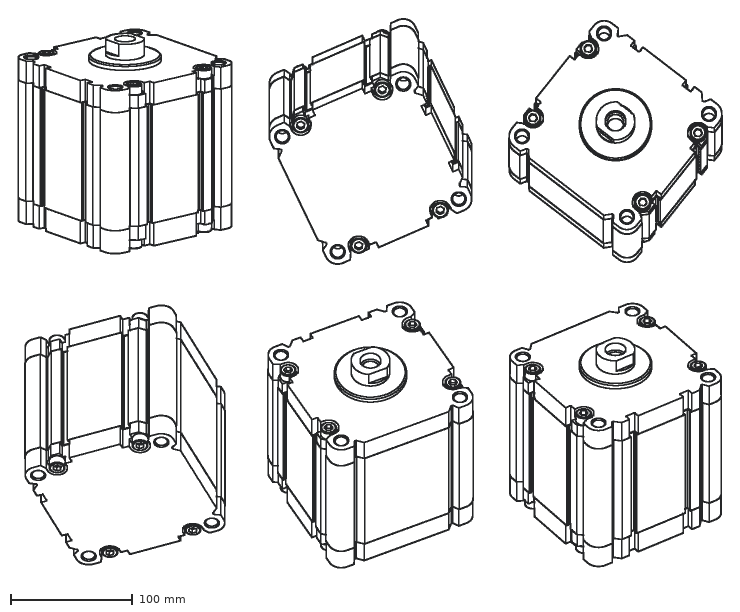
import cadquery as cq
import math


total_height = 159.0
housing_top = 140.7
bottom_cap_top = 19.9
top_cap_bottom = 121.8

barrel_width = 132.0
cap_width = 131.5
half_width = barrel_width / 2
corner_radius = 11.0
corner_pitch = half_width - corner_radius

groove_corner_mouth = 48.7
groove_corner_floor = 45.5
groove_inner_floor = 43.9
groove_inner_mouth = 39.0
cap_groove_depth = 5.4
barrel_groove_depth = 5.0

slot_offset = 27.0
cap_slot_width = 8.7
cap_slot_depth = 5.4
barrel_slot_width = 5.4
barrel_slot_depth = 4.6
slot_lip = 1.9
undercut = 0.8
undercut_height = 1.3
slot_faces = (0, 90, -90)

mount_hole_diameter = 10.2
mount_hole_mouth = 12.2
mount_hole_depth = 23.8

screw_x = 57.5
screw_y = 37.0
recess_width = 17.0
recess_depth = 7.8
head_diameter = 13.0
head_chamfer = 0.8
socket_flats = 6.0
socket_depth = 4.0

collar_diameter = 60.0
collar_top = 145.3
collar_chamfer = 1.3

rod_diameter = 32.0
rod_bottom = top_cap_bottom
flats_width = 27.0
flats_bottom = 148.5
rod_bore_diameter = 17.0
rod_bore_depth = 7.2
rod_seat_height = 0.8
rod_thread_diameter = 13.8
rod_thread_depth = 25.5
drill_tip_angle = 118.0


def around_z(shape, angle):
    return shape.rotate((0, 0, 0), (0, 0, 1), angle)


def section_prism(bottom, height, width, groove_depth):
    """Rounded square prism with a V groove on each side of every corner."""
    prism = (
        cq.Workplane("XY", origin=(0, 0, bottom))
        .rect(width, width)
        .extrude(height)
        .edges("|Z")
        .fillet(width / 2 - corner_pitch)
    )
    groove_floor = groove_depth - half_width
    groove_points = [
        (groove_corner_mouth, -half_width),
        (groove_corner_floor, groove_floor),
        (groove_inner_floor, groove_floor),
        (groove_inner_mouth, -half_width),
    ]
    groove = cq.Workplane("XY", origin=(0, 0, bottom)).polyline(groove_points).close().extrude(height)
    for side_groove in (groove, groove.mirror("YZ")):
        for angle in (0, 90, 180, 270):
            prism = prism.cut(around_z(side_groove, angle))
    return prism


def cut_slots(prism, bottom, height, half_profile):
    """Cut two slots per slotted face; half_profile lists (half width, depth) from the mouth inward."""
    right = [(slot_offset + half, depth - half_width) for half, depth in half_profile]
    left = [(slot_offset - half, depth - half_width) for half, depth in reversed(half_profile)]
    slot = cq.Workplane("XY", origin=(0, 0, bottom)).polyline(right + left).close().extrude(height)
    for side_slot in (slot, slot.mirror("YZ")):
        for angle in slot_faces:
            prism = prism.cut(around_z(side_slot, angle))
    return prism


def make_cap(bottom, height):
    half_slot = cap_slot_width / 2
    profile = [(half_slot, 0), (half_slot, cap_slot_depth)]
    cap = section_prism(bottom, height, cap_width, cap_groove_depth)
    return cut_slots(cap, bottom, height, profile)


def make_barrel():
    height = top_cap_bottom - bottom_cap_top
    half_slot = barrel_slot_width / 2
    profile = [
        (half_slot, 0),
        (half_slot, slot_lip),
        (half_slot + undercut, slot_lip),
        (half_slot + undercut, slot_lip + undercut_height),
        (half_slot, barrel_slot_depth),
    ]
    barrel = section_prism(bottom_cap_top, height, barrel_width, barrel_groove_depth)
    return cut_slots(barrel, bottom_cap_top, height, profile)


def make_recess():
    """Screw recess at +X in the top face, open to the side of the housing."""
    floor = cq.Workplane("XY", origin=(screw_x, 0, housing_top - recess_depth))
    round_end = floor.circle(recess_width / 2).extrude(recess_depth)
    open_side = floor.rect(recess_width, recess_width).extrude(recess_depth)
    open_side = open_side.translate((recess_width / 2, 0, 0))
    return round_end.union(open_side)


def make_screw_head():
    """Socket head standing on the floor of the recess at +X."""
    across_corners = socket_flats / math.cos(math.pi / 6)
    head = (
        cq.Workplane("XY", origin=(screw_x, 0, housing_top - recess_depth))
        .circle(head_diameter / 2)
        .extrude(recess_depth)
        .faces(">Z")
        .chamfer(head_chamfer)
    )
    socket = (
        cq.Workplane("XY", origin=(0, 0, housing_top - socket_depth))
        .polygon(6, across_corners)
        .extrude(socket_depth)
    )
    return head.cut(around_z(socket, 90).translate((screw_x, 0, 0)))


def make_mount_hole():
    """Countersunk blind hole running down from the top face on the Z axis."""
    countersink = (mount_hole_mouth - mount_hole_diameter) / 2
    return (
        cq.Workplane("XZ")
        .moveTo(0, housing_top)
        .lineTo(mount_hole_mouth / 2, housing_top)
        .lineTo(mount_hole_diameter / 2, housing_top - countersink)
        .lineTo(mount_hole_diameter / 2, housing_top - mount_hole_depth)
        .lineTo(0, housing_top - mount_hole_depth)
        .close()
        .revolve(360, (0, 0, 0), (0, 1, 0))
    )


def both_ends(shape):
    """The shape at the top face and its mirror image at the bottom face."""
    return (shape, shape.mirror("XY", (0, 0, housing_top / 2)))


def make_collar():
    return (
        cq.Workplane("XY", origin=(0, 0, housing_top))
        .circle(collar_diameter / 2)
        .extrude(collar_top - housing_top)
        .faces(">Z")
        .chamfer(collar_chamfer)
    )


def make_housing():
    housing = make_cap(0, bottom_cap_top)
    housing = housing.union(make_barrel())
    housing = housing.union(make_cap(top_cap_bottom, housing_top - top_cap_bottom))
    housing = housing.union(make_collar())

    for hole in both_ends(make_mount_hole()):
        for x in (-corner_pitch, corner_pitch):
            for y in (-corner_pitch, corner_pitch):
                housing = housing.cut(hole.translate((x, y, 0)))

    recesses = both_ends(make_recess())
    heads = both_ends(make_screw_head())
    for recess, head in zip(recesses, heads):
        for angle in (0, 180):
            for y in (-screw_y, screw_y):
                housing = housing.cut(around_z(recess, angle).translate((0, y, 0)))
                housing = housing.union(around_z(head, angle).translate((0, y, 0)))

    rod_passage = (
        cq.Workplane("XY", origin=(0, 0, rod_bottom))
        .circle(rod_diameter / 2)
        .extrude(collar_top - rod_bottom)
    )
    return housing.cut(rod_passage)


def make_rod():
    rod = (
        cq.Workplane("XY", origin=(0, 0, rod_bottom))
        .circle(rod_diameter / 2)
        .extrude(total_height - rod_bottom)
    )

    flat_depth = (rod_diameter - flats_width) / 2
    flat_center = (flats_width + flat_depth) / 2
    flats = (
        cq.Workplane("XY", origin=(0, 0, flats_bottom))
        .pushPoints([(0, -flat_center), (0, flat_center)])
        .rect(rod_diameter, flat_depth)
        .extrude(total_height - flats_bottom)
    )

    bore_radius = rod_bore_diameter / 2
    thread_radius = rod_thread_diameter / 2
    bore_floor = total_height - rod_bore_depth
    thread_end = total_height - rod_thread_depth
    tip_height = thread_radius / math.tan(math.radians(drill_tip_angle / 2))
    hole = (
        cq.Workplane("XZ")
        .moveTo(0, total_height)
        .lineTo(bore_radius, total_height)
        .lineTo(bore_radius, bore_floor)
        .lineTo(thread_radius, bore_floor - rod_seat_height)
        .lineTo(thread_radius, thread_end)
        .lineTo(0, thread_end - tip_height)
        .close()
        .revolve(360, (0, 0, 0), (0, 1, 0))
    )
    return rod.cut(flats).cut(hole)


housing = make_housing()
rod = make_rod()

result = cq.Compound.makeCompound([housing.solids().val(), rod.solids().val()])